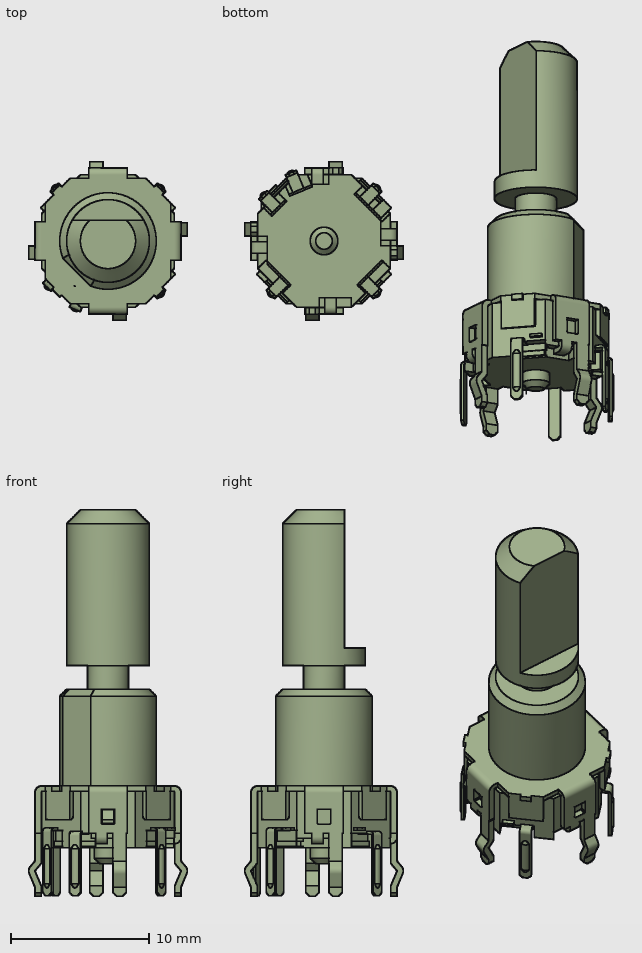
import cadquery as cq
import math


SHAFT_TOP = 20.0
SHAFT_BOTTOM = 8.7
SHAFT_RADIUS = 3.0
SHAFT_CHAMFER = 1.0
FLAT_BOTTOM = 10.0
FLAT_OFFSET = 1.5
NECK_RADIUS = 1.5
BUSHING_TOP = 7.0
BUSHING_RADIUS = 3.5
BUSHING_CHAMFER = 0.5
BUSHING_FLAT_OFFSET = 3.2
BUSHING_FLAT_ANGLE = 225

BODY_SIDES = 8
BODY_APOTHEM = 4.8
BODY_BOTTOM = -4.5
BOSS_RADIUS = 1.0
BOSS_BOTTOM = -5.65
BOSS_CHAMFER = 0.4

SHEET = 0.4
PLATE_HALF = 4.55
PLATE_DIAGONAL = 5.15
CORNER_TAB_WIDTH = 2.5
CORNER_TAB_BOTTOM = -2.45
CORNER_TAB_BEVEL = 0.25
NUB_WIDTH = 0.8
NUB_PROTRUSION = 0.2

SIDE_ANGLES = (0, 90, 180, 270)
TAB_SHEET = 0.47
BEND_OUTER = 0.5
BEND_INNER = BEND_OUTER - TAB_SHEET
TAB_OUTER = BODY_APOTHEM + BEND_OUTER
TAB_INNER = TAB_OUTER - TAB_SHEET
TAB_HALF_WIDTH = 1.4
TAB_BOTTOM = -3.45
WINDOW_WIDTH = 0.95
WINDOW_TOP = -1.7
WINDOW_BOTTOM = -2.8
WINDOW_CHAMFER = 0.08
LEG_START = 0.36
LEG_END = 1.33
KNEE_TOP = -5.45
KNEE_SLOPE_IN = math.radians(40)
KNEE_SLOPE_OUT = math.radians(23)
KNEE_RADIUS = 0.5
LEG_BOTTOM = -8.0
LEG_REACH = 5.75
LEG_TIP_CHAMFER = 0.27
TONGUE_START = -0.9
TONGUE_END = -0.05
TONGUE_BOTTOM = -4.2
TONGUE_INNER_END = 4.0
TONGUE_RECESS_START = -1.98
TONGUE_RECESS_TOP = -3.8
TONGUE_RECESS_DEPTH = 0.7

LATCH_ANGLE = 270
LATCH_WIDTH = 0.8
LATCH_TOP = -1.75
LATCH_PEAK = -2.45
LATCH_BOTTOM = -2.7
LATCH_HEIGHT = 0.3

PIN_WIDTH = 0.86
PIN_THICKNESS = 0.2
PIN_OUTER = 5.5
PIN_BEND = 0.3
PIN_BOTTOM = -7.97
PIN_TIP_CHAMFER = 0.25
PIN_ROOT = 3.5
BEAD_WIDTH = 0.58
BEAD_HEIGHT = 0.13
BEAD_TOP = -4.25
BEAD_BOTTOM = -7.4
BEAD_TAPER = 0.3
SLOT_FLOOR = 4.1
SLOT_OUTER = 5.2
SLOT_DROP = 0.15
SLOT_POCKET_FLOOR = 3.95
SLOT_LIP_TOP = -4.0
SLOT_LIP_BOTTOM = -4.37
SPUR_START = 0.9
SPUR_END = 1.75
SPUR_THICKNESS = 0.17
SPUR_TOP = -3.05
PIN_TOP_HIGH = -3.05
PIN_TOP_LOW = -3.3

PINS = (
    (225, -0.76, PIN_TOP_HIGH, -1.39, 0.12),
    (247.5, -0.32, PIN_TOP_LOW, -1.05, 0.73),
    (315, 0.0, PIN_TOP_HIGH, -0.84, 1.98),
    (135, 0.0, PIN_TOP_LOW, -0.55, 1.98),
    (45, 0.0, PIN_TOP_LOW, -1.98, 0.55),
)
SPURS = ((315, 1), (135, 1), (45, -1))


def block(x0, x1, y0, y1, z0, z1):
    """Axis-aligned box between two corners."""
    return cq.Workplane("XY").box(x1 - x0, y1 - y0, z1 - z0, centered=False).translate((x0, y0, z0))


def cylinder(radius, z0, z1):
    """Cylinder about the Z axis."""
    return cq.Workplane("XY").workplane(offset=z0).circle(radius).extrude(z1 - z0)


def facing(shape, angle):
    """Turn a shape that faces +X so that it faces the given direction."""
    return shape.rotate((0, 0, 0), (0, 0, 1), angle)


def side_profile(profile, y0, y1):
    """Extrude an XZ profile from y0 to y1."""
    return profile.extrude(-(y1 - y0)).translate((0, y0, 0))


def make_shaft():
    """D-shaft with a chamfered top, standing on a narrower neck."""
    shaft = cylinder(SHAFT_RADIUS, SHAFT_BOTTOM, SHAFT_TOP)
    shaft = shaft.faces(">Z").chamfer(SHAFT_CHAMFER)
    flat_cut = block(-SHAFT_RADIUS, SHAFT_RADIUS, FLAT_OFFSET, 2 * SHAFT_RADIUS, FLAT_BOTTOM, SHAFT_TOP)
    neck = cylinder(NECK_RADIUS, BUSHING_TOP, SHAFT_BOTTOM)
    return shaft.cut(flat_cut).union(neck)


def make_bushing():
    """Round bushing with one flat; the top edge is chamfered all around."""
    bushing = cylinder(BUSHING_RADIUS, 0, BUSHING_TOP)
    bushing = bushing.faces(">Z").chamfer(BUSHING_CHAMFER)
    flat_side = block(
        -BUSHING_RADIUS, BUSHING_FLAT_OFFSET, -BUSHING_RADIUS, BUSHING_RADIUS, 0, BUSHING_TOP
    )
    flat_side = flat_side.edges(">X and >Z").chamfer(BUSHING_CHAMFER)
    return bushing.intersect(facing(flat_side, BUSHING_FLAT_ANGLE))


def make_body():
    """Octagonal housing with recesses for the tongues and terminals, and a boss below."""
    across_corners = 2 * BODY_APOTHEM / math.cos(math.pi / BODY_SIDES)
    body = cq.Workplane("XY").polygon(BODY_SIDES, across_corners).extrude(BODY_BOTTOM + SHEET)
    body = facing(body, 180 / BODY_SIDES).translate((0, 0, -SHEET))
    for angle in SIDE_ANGLES:
        recess = block(
            BODY_APOTHEM - TONGUE_RECESS_DEPTH, TAB_OUTER,
            TONGUE_RECESS_START, LEG_START,
            BODY_BOTTOM, TONGUE_RECESS_TOP,
        )
        body = body.cut(facing(recess, angle))
    for angle, _, top, slot_start, slot_end in PINS:
        slot = block(SLOT_FLOOR, SLOT_OUTER, slot_start, slot_end, BODY_BOTTOM, top - SLOT_DROP)
        pocket = block(
            SLOT_POCKET_FLOOR, SLOT_OUTER, slot_start, slot_end, SLOT_LIP_TOP, top - SLOT_DROP
        )
        under_lip = block(
            SLOT_POCKET_FLOOR, SLOT_OUTER, slot_start, slot_end, BODY_BOTTOM, SLOT_LIP_BOTTOM
        )
        body = body.cut(facing(slot.union(pocket).union(under_lip), angle))
    boss = cylinder(BOSS_RADIUS, BOSS_BOTTOM, BODY_BOTTOM)
    return body.union(boss.faces("<Z").chamfer(BOSS_CHAMFER))


def make_plate():
    """Square cover plate with its corners cut off."""
    plate = block(-PLATE_HALF, PLATE_HALF, -PLATE_HALF, PLATE_HALF, -SHEET, 0)
    diagonal_square = block(
        -PLATE_DIAGONAL, PLATE_DIAGONAL, -PLATE_DIAGONAL, PLATE_DIAGONAL, -SHEET, 0
    )
    return plate.intersect(facing(diagonal_square, 45))


def make_corner_tab():
    """Cover tab folded down over a corner, with a small nub at its top."""
    half = CORNER_TAB_WIDTH / 2
    inner = PLATE_DIAGONAL - SHEET
    tab = block(inner, PLATE_DIAGONAL, -half, half, CORNER_TAB_BOTTOM, 0)
    tab = tab.edges("<X and <Z").chamfer(CORNER_TAB_BEVEL)
    nub = block(inner, PLATE_DIAGONAL + NUB_PROTRUSION, -NUB_WIDTH / 2, NUB_WIDTH / 2, -SHEET, 0)
    return tab.union(nub)


def make_side_tab():
    """Cover tab bent down over a side, with its window, tongue and snap-in leg."""
    bend_x = BODY_APOTHEM
    diagonal = math.sqrt(0.5)
    profile = (
        cq.Workplane("XZ")
        .moveTo(PLATE_HALF - TAB_SHEET, 0)
        .lineTo(bend_x, 0)
        .threePointArc(
            (bend_x + BEND_OUTER * diagonal, BEND_OUTER * (diagonal - 1)), (TAB_OUTER, -BEND_OUTER)
        )
        .lineTo(TAB_OUTER, TAB_BOTTOM)
        .lineTo(TAB_INNER, TAB_BOTTOM)
        .lineTo(TAB_INNER, -BEND_OUTER)
        .threePointArc(
            (bend_x + BEND_INNER * diagonal, BEND_INNER * diagonal - BEND_OUTER), (bend_x, -TAB_SHEET)
        )
        .lineTo(PLATE_HALF - TAB_SHEET, -TAB_SHEET)
        .close()
    )
    tab = side_profile(profile, -TAB_HALF_WIDTH, TAB_HALF_WIDTH)
    window = block(
        TAB_INNER, TAB_OUTER, -WINDOW_WIDTH / 2, WINDOW_WIDTH / 2, WINDOW_BOTTOM, WINDOW_TOP
    )
    tab = tab.cut(window.edges("|X and <Z").chamfer(WINDOW_CHAMFER))
    return tab.union(make_tongue()).union(make_leg())


def make_tongue():
    """Strip below the tab that curls inwards under the housing."""
    diagonal = math.sqrt(0.5)
    curl_x = TAB_OUTER - BEND_OUTER
    curl_z = TONGUE_BOTTOM + BEND_OUTER
    profile = (
        cq.Workplane("XZ")
        .moveTo(TAB_OUTER, TAB_BOTTOM)
        .lineTo(TAB_OUTER, curl_z)
        .threePointArc(
            (curl_x + BEND_OUTER * diagonal, curl_z - BEND_OUTER * diagonal), (curl_x, TONGUE_BOTTOM)
        )
        .lineTo(TONGUE_INNER_END, TONGUE_BOTTOM)
        .lineTo(TONGUE_INNER_END, TONGUE_BOTTOM + TAB_SHEET)
        .lineTo(curl_x, TONGUE_BOTTOM + TAB_SHEET)
        .threePointArc(
            (curl_x + BEND_INNER * diagonal, curl_z - BEND_INNER * diagonal), (TAB_INNER, curl_z)
        )
        .lineTo(TAB_INNER, TAB_BOTTOM)
        .close()
    )
    return side_profile(profile, TONGUE_START, TONGUE_END)


def make_leg():
    """Leg with a rounded outward knee and a tapered vertical tip."""
    half_turn = (KNEE_SLOPE_IN + KNEE_SLOPE_OUT) / 2
    half_difference = (KNEE_SLOPE_IN - KNEE_SLOPE_OUT) / 2
    apex_x = LEG_REACH + KNEE_RADIUS * (math.cos(half_difference) / math.cos(half_turn) - 1)
    apex_z = KNEE_TOP - (apex_x - TAB_OUTER) / math.tan(KNEE_SLOPE_IN)
    knee_bottom = apex_z - (apex_x - TAB_OUTER) / math.tan(KNEE_SLOPE_OUT)
    inner_top = KNEE_TOP - TAB_SHEET * math.tan(KNEE_SLOPE_IN / 2)
    inner_bottom = knee_bottom + TAB_SHEET * math.tan(KNEE_SLOPE_OUT / 2)
    mitre = TAB_SHEET / math.cos(half_turn)
    inner_apex = (apex_x - mitre * math.cos(half_difference), apex_z - mitre * math.sin(half_difference))
    profile = (
        cq.Workplane("XZ")
        .moveTo(TAB_OUTER, TAB_BOTTOM)
        .lineTo(TAB_OUTER, KNEE_TOP)
        .lineTo(apex_x, apex_z)
        .lineTo(TAB_OUTER, knee_bottom)
        .lineTo(TAB_OUTER, LEG_BOTTOM)
        .lineTo(TAB_INNER, LEG_BOTTOM)
        .lineTo(TAB_INNER, inner_bottom)
        .lineTo(*inner_apex)
        .lineTo(TAB_INNER, inner_top)
        .lineTo(TAB_INNER, TAB_BOTTOM)
        .close()
    )
    leg = side_profile(profile, LEG_START, LEG_END)
    leg = leg.edges("|Y and >X").fillet(KNEE_RADIUS)
    return leg.edges("|X and <Z").chamfer(LEG_TIP_CHAMFER)


def make_latch():
    """Ramp on the housing wall that shows through the cover window."""
    root = BODY_APOTHEM - LATCH_HEIGHT
    profile = (
        cq.Workplane("XZ")
        .moveTo(root, LATCH_TOP)
        .lineTo(BODY_APOTHEM, LATCH_TOP)
        .lineTo(BODY_APOTHEM + LATCH_HEIGHT, LATCH_PEAK)
        .lineTo(BODY_APOTHEM + LATCH_HEIGHT, LATCH_BOTTOM)
        .lineTo(root, LATCH_BOTTOM)
        .close()
    )
    return side_profile(profile, -LATCH_WIDTH / 2, LATCH_WIDTH / 2)


def make_bead():
    """Shallow rounded rib along the outer face of a terminal."""
    radius = ((BEAD_WIDTH / 2) ** 2 + BEAD_HEIGHT ** 2) / (2 * BEAD_HEIGHT)
    axis_x = PIN_OUTER + BEAD_HEIGHT - radius
    bead = cylinder(radius, BEAD_BOTTOM, BEAD_TOP).translate((axis_x, 0, 0))
    bead = bead.faces("<Z or >Z").chamfer(BEAD_TAPER, BEAD_HEIGHT)
    outer_half = block(
        PIN_OUTER - PIN_THICKNESS / 2, PIN_OUTER + radius, -radius, radius, BEAD_BOTTOM, BEAD_TOP
    )
    return bead.intersect(outer_half)


def make_pin(top):
    """Terminal that leaves the housing level and bends straight down."""
    inner = PIN_OUTER - PIN_THICKNESS
    level = block(PIN_ROOT, PIN_OUTER, -PIN_WIDTH / 2, PIN_WIDTH / 2, top - PIN_THICKNESS, top)
    drop = block(inner, PIN_OUTER, -PIN_WIDTH / 2, PIN_WIDTH / 2, PIN_BOTTOM, top)
    drop = drop.edges("|X and <Z").chamfer(PIN_TIP_CHAMFER)
    pin = level.union(drop).edges("|Y and >X and >Z").fillet(PIN_BEND)
    return pin.union(make_bead())


def make_spur(side):
    """End of a terminal strip that shows beside the terminal."""
    spur = block(SLOT_FLOOR, PLATE_DIAGONAL, SPUR_START, SPUR_END, SPUR_TOP - SPUR_THICKNESS, SPUR_TOP)
    return spur if side > 0 else spur.mirror("XZ")


result = make_body().union(make_plate()).union(make_bushing()).union(make_shaft())
for side_angle in SIDE_ANGLES:
    result = result.union(facing(make_side_tab(), side_angle))
    result = result.union(facing(make_corner_tab(), side_angle + 45))
result = result.union(facing(make_latch(), LATCH_ANGLE))
for pin_angle, pin_offset, pin_top, _, _ in PINS:
    pin = make_pin(pin_top).translate((0, pin_offset, 0))
    result = result.union(facing(pin, pin_angle))
for spur_angle, spur_side in SPURS:
    result = result.union(facing(make_spur(spur_side), spur_angle))